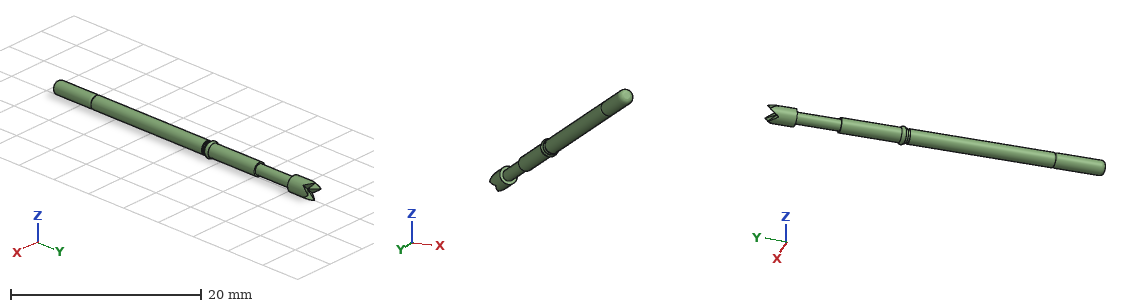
import cadquery as cq
import math

length = 37.0
tip_y = length / 2

head_diameter = 2.0
head_length = 2.95
tooth_depth = 1.0
tooth_count = 4

plunger_diameter = 1.3

barrel_start = 7.9
barrel_diameter = 1.65
end_fillet = 0.48

neck_station = 15.28
neck_width = 0.2
neck_diameter = 1.4
neck_lip_radius = 0.15
rear_crimp_station = 31.5
crimp_lip_radius = 0.22

collar_diameter = head_diameter
collar_start = 14.5
collar_width = 0.5
collar_crown = 0.15


def rod(diameter, start, end):
    """Cylinder along Y between two stations behind the crown tip."""
    plane = cq.Workplane("XZ", origin=(0, tip_y - start, 0))
    return plane.circle(diameter / 2).extrude(end - start)


def crown_notch(angle):
    """V groove across the whole head, running at the given angle about Y."""
    half_width = head_diameter / 2 * math.sin(math.pi / tooth_count)
    notch = (
        cq.Workplane("XY", origin=(0, 0, -head_diameter))
        .moveTo(0, tip_y - tooth_depth)
        .lineTo(2 * half_width, tip_y + tooth_depth)
        .lineTo(-2 * half_width, tip_y + tooth_depth)
        .close()
        .extrude(2 * head_diameter)
    )
    return notch.rotate((0, 0, 0), (0, 1, 0), angle)


def build_head():
    """Head with crossing V grooves that leave pointed teeth on its rim."""
    head = rod(head_diameter, 0, head_length)
    tooth_pitch = 360 / tooth_count
    for index in range(tooth_count // 2):
        head = head.cut(crown_notch((index + 0.5) * tooth_pitch))
    return head


def build_collar():
    """Press ring around the barrel with a rounded rim."""
    rim_radius = collar_diameter / 2
    shoulder_radius = rim_radius - collar_crown
    front_y = tip_y - collar_start
    rear_y = front_y - collar_width
    return (
        cq.Workplane("XY")
        .moveTo(0, front_y)
        .lineTo(shoulder_radius, front_y)
        .threePointArc((rim_radius, (front_y + rear_y) / 2), (shoulder_radius, rear_y))
        .lineTo(0, rear_y)
        .close()
        .revolve(360, (0, 0, 0), (0, 1, 0))
    )


def build_barrel():
    """Collared barrel, made of lengths that meet at the two pinches."""
    front = rod(barrel_diameter, barrel_start, neck_station)
    front = front.faces("<Y").edges().fillet(neck_lip_radius)

    neck_end = neck_station + neck_width
    neck = rod(neck_diameter, neck_station, neck_end)

    middle = rod(barrel_diameter, neck_end, rear_crimp_station)
    middle = middle.faces("<Y").edges().fillet(crimp_lip_radius)

    rear = rod(barrel_diameter, rear_crimp_station, length)
    rear = rear.faces(">Y").edges().fillet(crimp_lip_radius)
    rear = rear.faces("<Y").edges().fillet(end_fillet)

    return front.union(build_collar()).union(neck).union(middle).union(rear)


plunger = rod(plunger_diameter, head_length, barrel_start)
result = build_head().union(plunger).union(build_barrel())